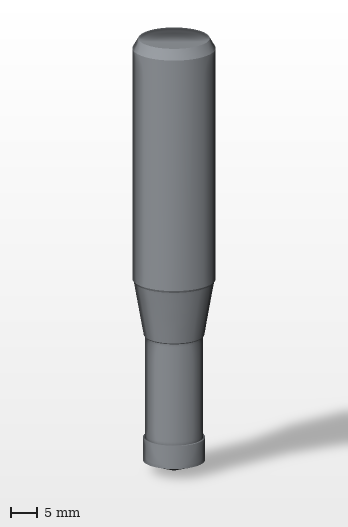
import cadquery as cq
import math

total_length = 86.2
shank_radius = 7.9

head_diameter = 11.8
head_radius = head_diameter / 2
head_top = 6.7
point_angle = 20.0
point_height = head_radius * math.tan(math.radians(point_angle))

neck_radius = 5.5
taper_bottom = 27.1
taper_top = 37.8
taper_bottom_radius = 5.8
taper_top_radius = 7.7
neck_edge_height = 0.3
shank_bottom = 38.25

chamfer_height = 2.0
chamfer_angle = 30.0
chamfer_width = chamfer_height * math.tan(math.radians(chamfer_angle))


def turned(profile):
    """Revolve a closed (radius, height) profile around the Z axis."""
    return cq.Workplane("XZ").polyline(profile).close().revolve(360, (0, 0, 0), (0, 1, 0))


def make_holder():
    """Shank, tapered shoulder and neck, standing on the cutting head."""
    return turned([
        (0, head_top),
        (neck_radius, head_top),
        (neck_radius, taper_bottom - neck_edge_height),
        (taper_bottom_radius, taper_bottom),
        (taper_top_radius, taper_top),
        (shank_radius, shank_bottom),
        (shank_radius, total_length - chamfer_height),
        (shank_radius - chamfer_width, total_length),
        (0, total_length),
    ])


def make_cutting_head():
    """Pointed disc under the neck, with its tip at the origin."""
    return turned([
        (0, 0),
        (head_radius, point_height),
        (head_radius, head_top),
        (0, head_top),
    ])


holder = make_holder()
cutting_head = make_cutting_head()

result = cq.Compound.makeCompound([holder.val(), cutting_head.val()])